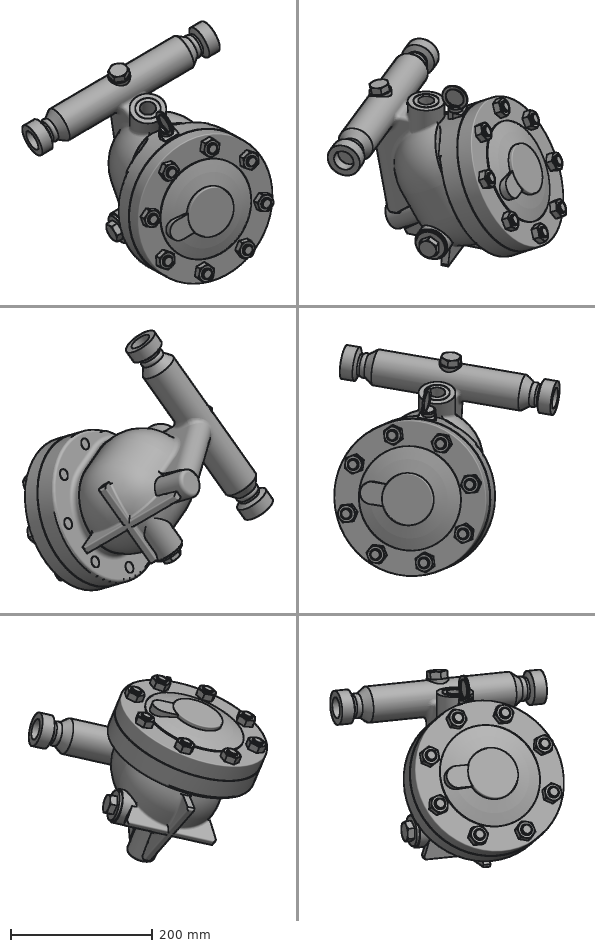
import cadquery as cq
import math


TILT = 30.0
FLANGE_CENTRE = (182.3, 0, 125.2)
flange_plane = cq.Plane(
    origin=FLANGE_CENTRE,
    xDir=(0, 1, 0),
    normal=(math.cos(math.radians(TILT)), 0, math.sin(math.radians(TILT))),
)

OUTER_FACE = cq.selectors.DirectionMinMaxSelector(flange_plane.zDir)
INNER_FACE = cq.selectors.DirectionMinMaxSelector(flange_plane.zDir, False)

BODY_R = 74.5
BODY_LOBES = (43.5, -5.5)
LOBE_DEPTH = 74.5
BODY_FRONT = -44.3
NECK_R = 68.8
NECK_FLARE = 6.8

FLANGE_R = 222.0 / 2
BODY_FLANGE_T = 32.0
COVER_T = 25.0
COVER_EDGE_R = 1.5
BACK_EDGE_R = 4.3
HOOD_ARC = ((-28.5, 90.5), (-32.2, 103.5), (-41.5, 109.7))
JOINT_GROOVE = 0.5
PAD_R = 74.5
HUB_R = 37.2
HUB_TOP = 42.2
DOME_PROFILE = ((PAD_R, 27.0), (66.5, 29.0), (56.5, 32.0), (HUB_R, 36.0))
TONGUE_W = 32.0
TONGUE_END = 69.8
TONGUE_TOP = 40.0

STUD_COUNT = 8
STUD_CIRCLE_R = 93.0
STUD_D = 16.0
STUD_LENGTH = 14.0
STUD_RECESS = 0.5
STUD_CHAMFER = 1.5
NUT_FLATS = 24.2
NUT_T = 11.0
NUT_TURN = -7.5

HEADER_Z = 199.5
HEADER_R = 52.0 / 2
HEADER_HALF = 155.0
HEADER_BARREL_HALF = 108.2
COLLAR_R = 49.0 / 2
HEADER_NECK_R = 32.0 / 2
HEADER_BEAD_R = 18.0
HEADER_CONE = ((24.8, 110.5), (17.0, 121.2))
HEADER_BEAD_Y = 124.5
HEADER_NECK_Y = (129.0, 132.5)
COLLAR_Y = 136.5
HEADER_BORE_R = 15.0
HEADER_BORE_DEPTH = 16.0

RISER_TILT = 9.8
RISER_R = 19.8
RISER_LENGTH = 161.2
WEB_EDGE_R = 5.5
WEB_TOP_Z = 201.0
WEB_REACH = 46.5

INLET_Y = -5.0
INLET_R = 20.8
INLET_END = -197.5
INLET_EDGE_R = 5.5

HEX_FLATS = 26.0
HEX_T = 10.5
SEAT_R = 32.0 / 2
SEAT_HEIGHT = 27.3

DRAIN_X = 102.3
DRAIN_Z = 38.0
DRAIN_R = 49.0 / 2
DRAIN_END = 76.0
DRAIN_RING_R = 44.0 / 2
DRAIN_RING_T = 4.0

PORT_X = 65.0
PORT_TOP = 224.0
PORT_R = 52.0 / 2
PORT_ROOT = 139.5
PORT_RING_R = 18.0
PORT_RING_T = 1.0
PORT_BORE_R = 11.5
PORT_BORE_DEPTH = 31.0

PULL_X = 109.7
PULL_BOSS_R = 21.0 / 2
PULL_BOSS_TOP = 220.5
PULL_BOSS_ROOT = 192.2
PULL_PAD_LENGTH = 14.0
PULL_PAD_W = 23.5
PULL_PLUG_R = 20.0 / 2
PULL_PLUG_TOP = 227.5
PULL_PLUG_CHAMFER = 2.0
RING_R = 19.0
RING_Z = 260.0 - RING_R
RING_BACK = -1.5
RING_T = 2.5
RING_DISH_R = 13.5
RING_DISH_DEPTH = 1.5

FOOT_T = 11.0
FOOT_EDGE_R = 2.2
CROSS_FOOT_X = 119.7
LONG_FOOT = ((39.0, 0), (192.0, 0), (193.0, 4.5), (175.0, 35.5), (124, 62), (62, 28), (34.7, 8.0))
CROSS_FOOT_HALF = ((67.0, 0), (68.8, 4.5), (59.5, 34))

FOOT_BLEND = 3.0
WEB_BLEND = 7.5
HEADER_BLEND = 7.0
PORT_BLEND = 4.5


TOUCH = 0.03


def tilted(z):
    """Workplane parallel to the joint face at local height z."""
    return cq.Workplane(flange_plane).workplane(offset=z)


def body_lobes():
    """Two spheres joined by a barrel and cut off flat in front."""
    high, low = BODY_LOBES
    slant = BODY_R * math.sqrt(0.5)
    lobes = (
        tilted(-LOBE_DEPTH)
        .moveTo(0, low - BODY_R)
        .threePointArc((slant, low - slant), (BODY_R, low))
        .lineTo(BODY_R, high)
        .threePointArc((slant, high + slant), (0, high + BODY_R))
        .close()
        .revolve(360, (0, 0), (0, 1))
    )
    return lobes.cut(tilted(BODY_FRONT).circle(2 * BODY_R).extrude(BODY_R))


def neck():
    """Oval neck between body and flange, flaring onto the back of the flange."""
    def oval(start, end, radius):
        span = BODY_LOBES[0] - BODY_LOBES[1]
        centred = tilted(start).center(0, sum(BODY_LOBES) / 2)
        return centred.slot2D(span + 2 * radius, 2 * radius, 90).extrude(end - start)

    stem = oval(BODY_FRONT, -BODY_FLANGE_T, NECK_R)
    root = stem.faces(OUTER_FACE).edges().vals()
    wall = oval(-BODY_FLANGE_T, -BODY_FLANGE_T / 2, NECK_R + 2 * NECK_FLARE)
    root_points = [edge.positionAt(0.5) for edge in root]
    joined = stem.union(wall)
    flare_edges = [
        edge for edge in joined.edges().vals()
        if min((edge.positionAt(0.5) - point).Length for point in root_points) < TOUCH
    ]
    flared = joined.newObject(flare_edges).fillet(NECK_FLARE)
    return flared.intersect(tilted(BODY_FRONT).circle(FLANGE_R).extrude(-BODY_FRONT))


def flanges():
    """Body flange with its hood over the top, and the cover flange, parted by a fine groove."""
    body = tilted(-BODY_FLANGE_T).circle(FLANGE_R).extrude(BODY_FLANGE_T)
    body = body.faces(INNER_FACE).edges().fillet(BACK_EDGE_R)
    cover = tilted(0).circle(FLANGE_R).extrude(COVER_T)
    cover = cover.faces(OUTER_FACE).edges().fillet(COVER_EDGE_R)

    side = cq.Plane(origin=FLANGE_CENTRE, xDir=flange_plane.zDir, normal=(0, -1, 0))
    start, middle, end = HOOD_ARC
    hood = (
        cq.Workplane(side)
        .moveTo(*start)
        .threePointArc(middle, end)
        .lineTo(end[0], FLANGE_R)
        .lineTo(-BODY_FLANGE_T / 2, FLANGE_R)
        .lineTo(-BODY_FLANGE_T / 2, start[1])
        .close()
        .extrude(FLANGE_R, both=True)
    )
    hood = hood.intersect(tilted(end[0]).circle(FLANGE_R).extrude(-end[0]))
    groove = tilted(-JOINT_GROOVE / 2).circle(FLANGE_R).circle(FLANGE_R - JOINT_GROOVE).extrude(JOINT_GROOVE)
    return body.union(hood).union(cover).cut(groove)


def cover_centre():
    """Domed pad, round hub and the round-ended tongue that leaves the hub toward -Y."""
    axis_plane = cq.Plane(origin=FLANGE_CENTRE, xDir=(0, 1, 0), normal=(-flange_plane.yDir).toTuple())
    dome = (
        cq.Workplane(axis_plane)
        .moveTo(0, 0)
        .lineTo(PAD_R, 0)
        .polyline(DOME_PROFILE, includeCurrent=True)
        .lineTo(0, DOME_PROFILE[-1][1])
        .close()
        .revolve(360, (0, 0), (0, 1))
    )
    hub = tilted(COVER_T).circle(HUB_R).extrude(HUB_TOP - COVER_T)
    hub = hub.faces(OUTER_FACE).edges().fillet(COVER_EDGE_R)
    tongue = (
        tilted(COVER_T)
        .center(-TONGUE_END / 2, 0)
        .slot2D(TONGUE_END, TONGUE_W)
        .extrude(TONGUE_TOP - COVER_T)
    )
    return dome.union(hub).union(tongue)


def hex_nut(base, flats, thickness):
    """Hexagon with corners along the local X axis of `base`, its top corners chamfered round."""
    corner_r = flats / math.sqrt(3)
    chamfer = corner_r - flats / 2
    top_face = cq.selectors.DirectionMinMaxSelector(base.plane.zDir)
    hexagon = base.polygon(6, 2 * corner_r).extrude(thickness)
    crown = base.circle(corner_r).extrude(thickness).faces(top_face)
    return hexagon.intersect(crown.edges().chamfer(chamfer / 2, chamfer))


def stud_with_nut(angle):
    """One nut on the cover with its stud standing proud."""
    seat = flange_plane.toWorldCoords((
        STUD_CIRCLE_R * math.cos(angle),
        STUD_CIRCLE_R * math.sin(angle),
        COVER_T,
    ))
    plane = cq.Plane(origin=seat, xDir=(0, 1, 0), normal=flange_plane.zDir)
    nut = hex_nut(cq.Workplane(plane.rotated((0, 0, math.degrees(angle) + NUT_TURN))), NUT_FLATS, NUT_T)
    stud = cq.Workplane(plane).circle(STUD_D / 2).extrude(STUD_LENGTH)
    stud = stud.faces(OUTER_FACE).edges().chamfer(STUD_CHAMFER)
    return nut.union(stud)


def header():
    """Cross pipe along Y with a bead, neck and bored collar at each end."""
    half = (
        cq.Workplane("XY")
        .lineTo(HEADER_R, 0)
        .lineTo(HEADER_R, HEADER_BARREL_HALF)
        .polyline(HEADER_CONE, includeCurrent=True)
        .threePointArc((HEADER_BEAD_R, HEADER_BEAD_Y), (HEADER_NECK_R, HEADER_NECK_Y[0]))
        .lineTo(HEADER_NECK_R, HEADER_NECK_Y[1])
        .lineTo(COLLAR_R, COLLAR_Y)
        .lineTo(COLLAR_R, HEADER_HALF)
        .lineTo(HEADER_BORE_R, HEADER_HALF)
        .lineTo(HEADER_BORE_R, HEADER_HALF - HEADER_BORE_DEPTH)
        .lineTo(0, HEADER_HALF - HEADER_BORE_DEPTH)
        .close()
        .revolve(360, (0, 0), (0, 1))
        .translate((0, 0, HEADER_Z))
    )
    return half.union(half.mirror("XZ"))


def riser_and_web():
    """Slanted riser pipe under the header, joined to the body and the top port by a flat web."""
    lean = math.radians(RISER_TILT)
    down = (math.sin(lean), 0, -math.cos(lean))
    foot_x = RISER_LENGTH * down[0]
    foot_z = HEADER_Z + RISER_LENGTH * down[2]
    top = cq.Plane(origin=(0, 0, HEADER_Z), xDir=(0, 1, 0), normal=down)
    riser = cq.Workplane(top).circle(RISER_R).extrude(RISER_LENGTH)
    centre = flange_plane.toWorldCoords((0, sum(BODY_LOBES) / 2, -LOBE_DEPTH))
    web = (
        cq.Workplane("XZ")
        .polyline([
            (0, HEADER_Z),
            (0, WEB_TOP_Z),
            (WEB_REACH, WEB_TOP_Z),
            (centre.x, centre.z),
            (foot_x, foot_z),
        ])
        .close()
        .extrude(RISER_R, both=True)
        .faces(">Z")
        .edges("|X")
        .fillet(WEB_EDGE_R)
    )
    return riser.union(web)


def inlet_boss():
    """Round boss leading from the riser foot into the body."""
    boss = tilted(INLET_END).center(0, INLET_Y).circle(INLET_R).extrude(-LOBE_DEPTH - INLET_END)
    return boss.faces(INNER_FACE).edges().fillet(INLET_EDGE_R)


def header_plug():
    """Hexagonal plug standing on the header, in line with the riser."""
    lean = math.radians(RISER_TILT)
    plane = cq.Plane(
        origin=(0, 0, HEADER_Z),
        xDir=(math.cos(lean), 0, math.sin(lean)),
        normal=(-math.sin(lean), 0, math.cos(lean)),
    )
    seat = cq.Workplane(plane).circle(SEAT_R).extrude(SEAT_HEIGHT)
    return seat.union(hex_nut(cq.Workplane(plane).workplane(offset=SEAT_HEIGHT), HEX_FLATS, HEX_T))


def drain_port():
    """Round port toward -Y, closed by a hexagonal plug."""
    def outward(y):
        return cq.Workplane(cq.Plane(origin=(DRAIN_X, -y, DRAIN_Z), xDir=(0, 0, 1), normal=(0, -1, 0)))

    boss = outward(0).circle(DRAIN_R).extrude(DRAIN_END)
    ring = outward(DRAIN_END).circle(DRAIN_RING_R).extrude(DRAIN_RING_T)
    return boss.union(ring).union(hex_nut(outward(DRAIN_END + DRAIN_RING_T), HEX_FLATS, HEX_T))


def top_port():
    """Vertical port growing out of the body, with a raised ring on its end."""
    port = cq.Workplane("XY", origin=(PORT_X, 0, PORT_ROOT)).circle(PORT_R).extrude(PORT_TOP - PORT_ROOT)
    ring = cq.Workplane("XY", origin=(PORT_X, 0, PORT_TOP)).circle(PORT_RING_R).extrude(PORT_RING_T)
    return port.union(ring)


def top_port_bore():
    """Blind bore down the middle of the top port."""
    mouth = cq.Workplane("XY", origin=(PORT_X, 0, PORT_TOP + PORT_RING_T))
    return mouth.circle(PORT_BORE_R).extrude(-PORT_BORE_DEPTH)


def pull_ring_plug():
    """Boss on the flange rim carrying a plug with a thin dished ring."""
    base = cq.Workplane("XY", origin=(PULL_X, 0, PULL_BOSS_ROOT))
    boss = base.circle(PULL_BOSS_R).extrude(PULL_BOSS_TOP - PULL_BOSS_ROOT)
    pad = base.center(PULL_PAD_LENGTH / 2, 0).rect(PULL_PAD_LENGTH, PULL_PAD_W)
    boss = boss.union(pad.extrude(PULL_BOSS_TOP - PULL_BOSS_ROOT))
    plug = base.circle(PULL_PLUG_R).extrude(PULL_PLUG_TOP - PULL_BOSS_ROOT)
    plug = plug.faces(">Z").chamfer(PULL_PLUG_CHAMFER)
    ring = cq.Workplane("XZ", origin=(PULL_X, RING_BACK, RING_Z)).circle(RING_R).extrude(RING_T)
    ring = ring.faces("<Y").workplane().circle(RING_DISH_R).cutBlind(-RING_DISH_DEPTH)
    return boss.union(plug).union(ring)


def feet():
    """Upright foot along X and a crossing foot along Y under the body."""
    mirrored = [(-y, z) for y, z in reversed(CROSS_FOOT_HALF)]
    outlines = (
        (cq.Workplane("XZ"), LONG_FOOT),
        (cq.Workplane("YZ", origin=(CROSS_FOOT_X, 0, 0)), [*CROSS_FOOT_HALF, *mirrored]),
    )
    long_foot, cross_foot = [
        base.polyline(outline).close().extrude(FOOT_T / 2, both=True).faces("<Z").edges().fillet(FOOT_EDGE_R)
        for base, outline in outlines
    ]
    return long_foot.union(cross_foot)


def axis_distance(point, start, end):
    """Distance from a point to the straight stretch between start and end."""
    along = end - start
    share = (point - start).dot(along) / along.dot(along)
    return (point - start - along * min(max(share, 0), 1)).Length


def blend(solid, axis_ends, axis_r, radius, wanted):
    """Fillet the edges that lie axis_r away from an axis and whose midpoint is wanted."""
    chosen = []
    for edge in solid.edges().vals():
        points = [edge.positionAt(share) for share in (0.25, 0.5, 0.75)]
        on_surface = all(abs(axis_distance(point, *axis_ends) - axis_r) < TOUCH for point in points)
        if on_surface and wanted(points[1]):
            chosen.append(edge)
    return solid.newObject(chosen).fillet(radius)


def on_foot(point):
    """Whether a point lies on a side face of either foot."""
    offsets = (point.y, point.x - CROSS_FOOT_X)
    return any(abs(abs(offset) - FOOT_T / 2) < TOUCH for offset in offsets)


def on_web(point):
    """Whether a point lies on a side face of the web."""
    return abs(abs(point.y) - RISER_R) < TOUCH


def at_riser_head(point):
    """Whether a point on the header lies where the riser and the web meet it."""
    return abs(point.y) < RISER_R + TOUCH and point.z < WEB_TOP_Z + TOUCH


def at_port_root(point):
    """Whether a point on the top port lies below its end face and seam."""
    return point.z < WEB_TOP_Z + TOUCH


def casting():
    """Body, feet, riser, header and top port, blended into each other one after the other."""
    lobe_axis = [flange_plane.toWorldCoords((0, height, -LOBE_DEPTH)) for height in BODY_LOBES]
    header_axis = [cq.Vector(0, y, HEADER_Z) for y in (-HEADER_HALF, HEADER_HALF)]
    port_axis = [cq.Vector(PORT_X, 0, z) for z in (0, PORT_TOP)]

    solid = blend(body_lobes().union(feet()), lobe_axis, BODY_R, FOOT_BLEND, on_foot)
    solid = blend(solid.union(riser_and_web()), lobe_axis, BODY_R, WEB_BLEND, on_web)
    solid = blend(solid.union(header()), header_axis, HEADER_R, HEADER_BLEND, at_riser_head)
    return blend(solid.union(top_port()), port_axis, PORT_R, PORT_BLEND, at_port_root)


result = casting()
for part in (
    inlet_boss(),
    drain_port(),
    neck(),
    flanges(),
    cover_centre(),
    header_plug(),
    pull_ring_plug(),
):
    result = result.union(part)
result = result.cut(top_port_bore())

for index in range(STUD_COUNT):
    angle = 2 * math.pi * (index + 0.5) / STUD_COUNT
    result = result.union(stud_with_nut(angle))
result = result.cut(
    tilted(-BODY_FLANGE_T)
    .polarArray(STUD_CIRCLE_R, 180 / STUD_COUNT, 360, STUD_COUNT)
    .circle(STUD_D / 2)
    .extrude(STUD_RECESS)
)